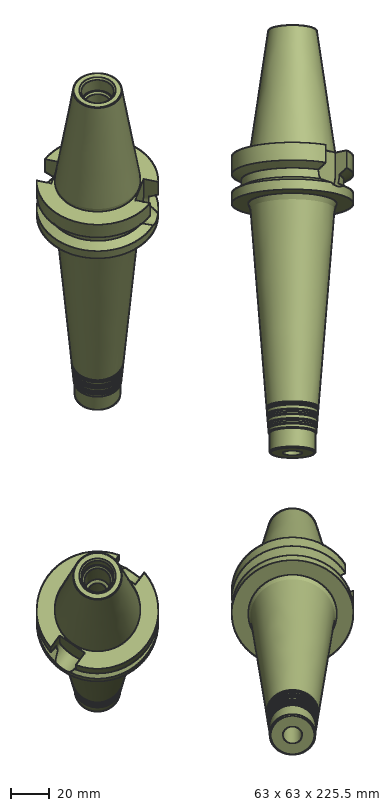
import cadquery as cq
import math

TOP_Z = 65.4
BOTTOM_Z = TOP_Z - 225.5

GAUGE_RADIUS = 44.5 / 2
TAPER_RATIO = 7 / 24
TOP_CHAMFER = 0.34

FLANGE_RADIUS = 31.5
FLANGE_TOP_Z = -2.0
FLANGE_BOTTOM_Z = -27.0
V_TOP_Z = -11.5
V_BOTTOM_Z = -21.6
V_FLOOR_RADIUS = 26.5
V_FLOOR_TOP_Z = -14.5
V_FLOOR_BOTTOM_Z = -19.2

SLOT_WIDTH = 16.0
SLOT_FLOOR_X = 22.5
SLOT_BOTTOM_Z = -23.0

COLLAR_RADIUS = 23.0
SHANK_TOP_Z = -30.0
SHANK_TOP_RADIUS = 21.9
SHANK_ANGLE = 4.5
SHANK_BOTTOM_Z = -149.7
NOSE_RADIUS = 12.0
FOOT_CHAMFER = 0.56
NOSE_CHAMFER = 0.7

RING_COUNT = 2
RING_HEIGHT = 2.5
RING_PITCH = 2 * RING_HEIGHT
RING_SEAT_RADIUS = 11.3
EDGE_CHAMFER = 0.32

GROOVE_HEIGHT = 1.4
GROOVE_FLOOR_RADIUS = 11.3

MOUTH_RADIUS = 9.5
COUNTERBORE_RADIUS = 17.0 / 2
COUNTERBORE_DEPTH = 8.8
COUNTERSINK_RADIUS = 8.0
THREAD_RADIUS = 6.8
THREAD_DEPTH = 31.5
BORE_RADIUS = 5.0
DRILL_POINT_ANGLE = 59.0


def shank_radius(z):
    """Radius of the shank cone at height z."""
    return SHANK_TOP_RADIUS - (SHANK_TOP_Z - z) * math.tan(math.radians(SHANK_ANGLE))


def ring_bottom(index):
    """Lower face of a ring; index 0 is the lowest ring, one land above the shank's foot."""
    return SHANK_BOTTOM_Z + RING_HEIGHT + index * RING_PITCH


def turned(points):
    """Solid of revolution about Z from (radius, z) points."""
    return cq.Workplane("XZ").polyline(points).close().revolve(360, (0, 0, 0), (0, 1, 0))


def make_blank():
    """Outside of the holder: drive taper, flange, shank and nose."""
    top_radius = GAUGE_RADIUS - TOP_Z * TAPER_RATIO / 2
    rim_z = TOP_Z - TOP_CHAMFER
    rim_radius = GAUGE_RADIUS - rim_z * TAPER_RATIO / 2
    foot_chamfer_z = SHANK_BOTTOM_Z + FOOT_CHAMFER
    return turned([
        (0, TOP_Z),
        (top_radius - TOP_CHAMFER, TOP_Z),
        (rim_radius, rim_z),
        (GAUGE_RADIUS, 0),
        (GAUGE_RADIUS, FLANGE_TOP_Z),
        (FLANGE_RADIUS, FLANGE_TOP_Z),
        (FLANGE_RADIUS, V_TOP_Z),
        (V_FLOOR_RADIUS, V_FLOOR_TOP_Z),
        (V_FLOOR_RADIUS, V_FLOOR_BOTTOM_Z),
        (FLANGE_RADIUS, V_BOTTOM_Z),
        (FLANGE_RADIUS, FLANGE_BOTTOM_Z),
        (COLLAR_RADIUS, FLANGE_BOTTOM_Z),
        (SHANK_TOP_RADIUS, SHANK_TOP_Z),
        (shank_radius(foot_chamfer_z), foot_chamfer_z),
        (NOSE_RADIUS, SHANK_BOTTOM_Z),
        (NOSE_RADIUS, BOTTOM_Z + NOSE_CHAMFER),
        (NOSE_RADIUS - NOSE_CHAMFER, BOTTOM_Z),
        (0, BOTTOM_Z),
    ])


def make_bore():
    """Axial bore: chamfered mouth, counterbore, thread hole with drill point, through hole."""
    mouth_depth = MOUTH_RADIUS - COUNTERBORE_RADIUS
    counterbore_z = TOP_Z - COUNTERBORE_DEPTH
    thread_z = TOP_Z - THREAD_DEPTH
    point_depth = (THREAD_RADIUS - BORE_RADIUS) / math.tan(math.radians(DRILL_POINT_ANGLE))
    return turned([
        (0, TOP_Z),
        (MOUTH_RADIUS, TOP_Z),
        (COUNTERBORE_RADIUS, TOP_Z - mouth_depth),
        (COUNTERBORE_RADIUS, counterbore_z),
        (COUNTERSINK_RADIUS, counterbore_z),
        (THREAD_RADIUS, counterbore_z - (COUNTERSINK_RADIUS - THREAD_RADIUS)),
        (THREAD_RADIUS, thread_z),
        (BORE_RADIUS, thread_z - point_depth),
        (BORE_RADIUS, BOTTOM_Z),
        (0, BOTTOM_Z),
    ])


def make_drive_slot(side):
    """Round-bottomed slot through the flange rim, on the +X (1) or -X (-1) side."""
    radius = SLOT_WIDTH / 2
    arc_z = SLOT_BOTTOM_Z + radius
    return (
        cq.Workplane("YZ", origin=(side * SLOT_FLOOR_X, 0, 0))
        .moveTo(-radius, FLANGE_TOP_Z)
        .lineTo(-radius, arc_z)
        .threePointArc((0, SLOT_BOTTOM_Z), (radius, arc_z))
        .lineTo(radius, FLANGE_TOP_Z)
        .close()
        .extrude(side * FLANGE_RADIUS)
    )


def make_groove_cutter(floor_radius, bottom, height):
    """Groove around the shank, flared at both lips to chamfer the edges beside it."""
    top = bottom + height
    return turned([
        (floor_radius, bottom),
        (shank_radius(bottom) - EDGE_CHAMFER, bottom),
        (shank_radius(bottom), bottom - EDGE_CHAMFER),
        (shank_radius(top), top + EDGE_CHAMFER),
        (shank_radius(top) - EDGE_CHAMFER, top),
        (floor_radius, top),
    ])


def make_holder():
    """Complete tool holder."""
    holder = make_blank().cut(make_bore())
    for side in (-1, 1):
        holder = holder.cut(make_drive_slot(side))
    for index in range(RING_COUNT):
        holder = holder.cut(make_groove_cutter(RING_SEAT_RADIUS, ring_bottom(index), RING_HEIGHT))
    top_land_z = ring_bottom(RING_COUNT)
    return holder.cut(make_groove_cutter(GROOVE_FLOOR_RADIUS, top_land_z, GROOVE_HEIGHT))


def make_ring(index):
    """Ring with chamfered outer edges that fills its seat in the shank."""
    bottom = ring_bottom(index)
    top = bottom + RING_HEIGHT
    return turned([
        (RING_SEAT_RADIUS, bottom),
        (shank_radius(bottom) - EDGE_CHAMFER, bottom),
        (shank_radius(bottom), bottom + EDGE_CHAMFER),
        (shank_radius(top), top - EDGE_CHAMFER),
        (shank_radius(top) - EDGE_CHAMFER, top),
        (RING_SEAT_RADIUS, top),
    ])


holder = make_holder()
rings = [make_ring(index) for index in range(RING_COUNT)]

result = cq.Compound.makeCompound([holder.val(), *[ring.val() for ring in rings]])